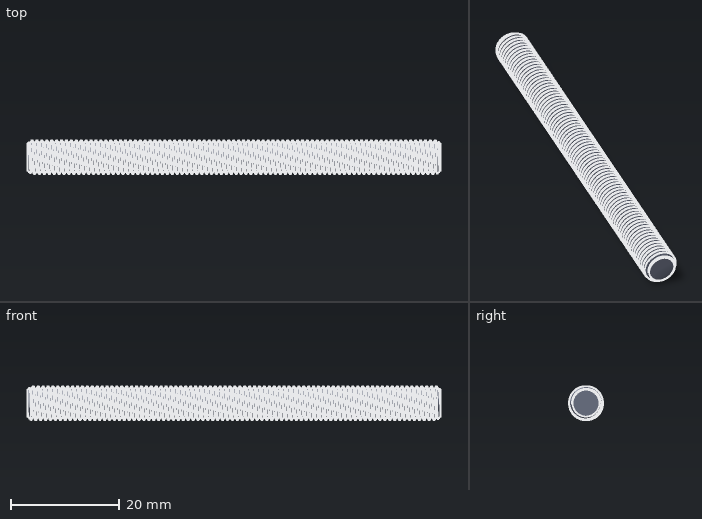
import cadquery as cq
import math

length = 76.2
turns = 84
pitch = length / turns
major_diameter = 6.3
end_face_diameter = 4.95
major_radius = major_diameter / 2
end_face_radius = end_face_diameter / 2

flank_angle = 30
sharp_height = pitch / 2 / math.tan(math.radians(flank_angle))
depth_share = 17 / 24
minor_radius = major_radius - sharp_height * depth_share
crest_flat = pitch / 8
flank_run = pitch * depth_share / 2

spare_turns = 2
plain_tip = 2 * pitch
thread_start = -length / 2 - spare_turns * pitch
thread_end = length / 2 + spare_turns * pitch

thread_angle = 114

tooth_edge = crest_flat / 2 + flank_run
thread_profile = [
    (minor_radius, tooth_edge - pitch),
    (minor_radius, -tooth_edge),
    (major_radius, -crest_flat / 2),
    (major_radius, crest_flat / 2),
    (minor_radius, tooth_edge),
]


def helix_turn(radius, height):
    """Single right-hand helix turn around Z."""
    return cq.Wire.makeHelix(pitch, pitch, radius, cq.Vector(0, 0, height)).Edges()[0]


def turn_faces(height):
    """Root, flank and crest faces of one thread turn."""
    helices = [helix_turn(radius, height + offset) for radius, offset in thread_profile]
    return [cq.Face.makeRuledSurface(low, high) for low, high in zip(helices, helices[1:])]


def tooth_end(height):
    """Flat trapezoid closing the tooth where the helix starts or stops."""
    tooth = thread_profile[1:]
    corners = [(radius, 0, height + offset) for radius, offset in tooth]
    return cq.Face.makeFromWires(cq.Wire.makePolygon(corners, close=True))


def plain_end(tip_height, helix_height):
    """Root cylinder from an outermost helix turn out to a flat disc."""
    rim = cq.Edge.makeCircle(minor_radius, cq.Vector(0, 0, tip_height))
    side = cq.Face.makeRuledSurface(rim, helix_turn(minor_radius, helix_height))
    disc = cq.Face.makeFromWires(cq.Wire.assembleEdges([rim]))
    return [side, disc]


def threaded_blank():
    """Over-long threaded bar along Z, closed from its own faces."""
    faces = [tooth_end(thread_start), tooth_end(thread_end)]
    for turn in range(turns + 2 * spare_turns):
        faces += turn_faces(thread_start + turn * pitch)
    first_root = thread_start + tooth_edge - pitch
    last_root = thread_end + tooth_edge - pitch
    faces += plain_end(thread_start - plain_tip, first_root)
    faces += plain_end(thread_end + plain_tip, last_root)
    return cq.Workplane(obj=cq.Solid.makeSolid(cq.Shell.makeShell(faces)))


def chamfered_envelope():
    """Oversize cylinder with the rod's length and 45 degree end chamfers."""
    radius = major_radius + pitch
    envelope = cq.Workplane("XY").circle(radius).extrude(length / 2, both=True)
    return envelope.faces("<Z or >Z").chamfer(radius - end_face_radius)


rod = threaded_blank().intersect(chamfered_envelope())
result = rod.rotate((0, 0, 0), (0, 0, 1), thread_angle).rotate((0, 0, 0), (0, 1, 0), 90)